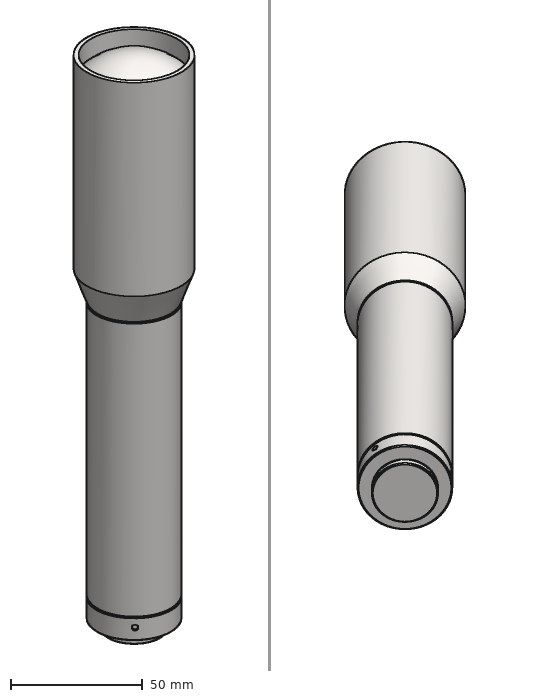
import cadquery as cq

total_length = 245.5
head_diameter = 46.0
barrel_diameter = 36.0

bore_diameter = 42.0
head_bottom = 154.2
taper_bottom = 140.7

groove_width = 0.7
groove_depth = 0.2
collar_groove_bottom = 14.0
barrel_bottom = 4.5
barrel_chamfer = 0.5

nose_diameter = 25.3
nose_neck_diameter = 24.5
nose_neck_height = 0.7
nose_chamfer = 0.5

screw_hole_diameter = 2.5
screw_hole_depth = 1.2
screw_hole_height = 10.0
screw_hole_count = 3
first_screw_angle = 90.0

lens_sag = 8.4
lens_edge_thickness = 2.5
lens_apex = total_length
lens_edge_top = lens_apex - lens_sag
lens_bottom = lens_edge_top - lens_edge_thickness


def cylinder(diameter, bottom, top):
    """Solid cylinder on the Z axis between two heights."""
    return cq.Workplane("XY").workplane(offset=bottom).circle(diameter / 2).extrude(top - bottom)


def groove_ring(outer_diameter, depth, bottom, width):
    """Ring of material to remove for a square groove around the Z axis."""
    top = bottom + width
    return cylinder(outer_diameter, bottom, top).cut(cylinder(outer_diameter - 2 * depth, bottom, top))


def make_taper():
    """Conical shoulder between the barrel and the head."""
    return (
        cq.Workplane("XY").workplane(offset=taper_bottom).circle(barrel_diameter / 2)
        .workplane(offset=head_bottom - taper_bottom).circle(head_diameter / 2)
        .loft(ruled=True)
    )


def make_nose():
    """Bottom plug with its chamfered tip and short neck."""
    neck_bottom = barrel_bottom - nose_neck_height
    tip = cylinder(nose_diameter, 0, neck_bottom).faces("<Z").chamfer(nose_chamfer)
    return tip.union(cylinder(nose_neck_diameter, neck_bottom, barrel_bottom))


def make_screw_hole(angle):
    """Blind radial hole entering the end collar at the given angle about Z."""
    barrel_radius = barrel_diameter / 2
    hole = (
        cq.Workplane("YZ").workplane(offset=barrel_radius - screw_hole_depth)
        .center(0, screw_hole_height).circle(screw_hole_diameter / 2)
        .extrude(2 * screw_hole_depth)
    )
    return hole.rotate((0, 0, 0), (0, 0, 1), angle)


def make_housing():
    """Stepped tube body with its lens bore, grooves and set-screw holes."""
    barrel = cylinder(barrel_diameter, barrel_bottom, taper_bottom).faces("<Z").chamfer(barrel_chamfer)
    head = cylinder(head_diameter, head_bottom, total_length)
    housing = barrel.union(make_taper()).union(head).union(make_nose())
    housing = housing.cut(cylinder(bore_diameter, lens_bottom, total_length))
    for groove_bottom in (collar_groove_bottom, taper_bottom - groove_width):
        housing = housing.cut(groove_ring(barrel_diameter, groove_depth, groove_bottom, groove_width))
    for index in range(screw_hole_count):
        housing = housing.cut(make_screw_hole(first_screw_angle + index * 360 / screw_hole_count))
    return housing


def make_lens():
    """Disc with a spherical upper face that fills the bore diameter."""
    radius = bore_diameter / 2
    sphere_radius = (radius**2 + lens_sag**2) / (2 * lens_sag)
    sphere = cq.Workplane("XY").sphere(sphere_radius).translate((0, 0, lens_apex - sphere_radius))
    return cylinder(bore_diameter, lens_bottom, lens_apex).intersect(sphere)


housing = make_housing()
lens = make_lens()
result = cq.Compound.makeCompound([housing.val(), lens.val()])